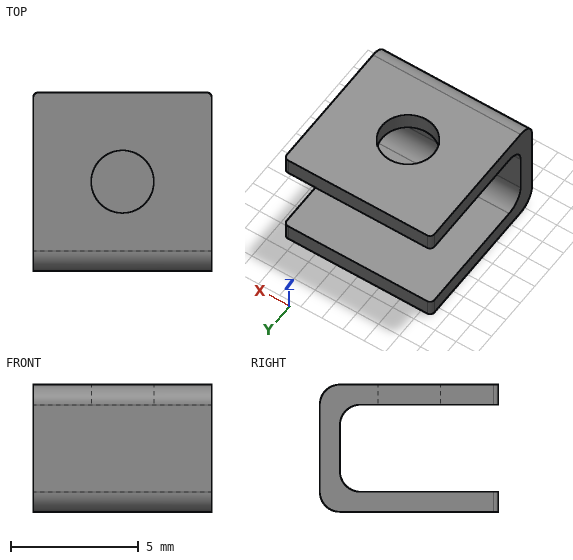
import cadquery as cq

width = 7.0
depth = 7.0
height = 5.0
thickness = 0.8
outer_bend_radius = 0.8
inner_bend_radius = 0.8
corner_radius = 0.2
hole_diameter = 2.46


def channel():
    """U-shaped channel with its web at -Y, open toward +Y."""
    body = cq.Workplane("XY").box(width, depth, height)
    body = body.edges("|X and <Y").fillet(outer_bend_radius)
    cavity = (
        cq.Workplane("XY")
        .box(width, depth - thickness, height - 2 * thickness)
        .translate((0, thickness / 2, 0))
        .edges("|X and <Y")
        .fillet(inner_bend_radius)
    )
    return body.cut(cavity)


def top_hole():
    """Cutter for the hole through the upper flange only."""
    return (
        cq.Workplane("XY")
        .workplane(offset=height / 2 - thickness)
        .circle(hole_diameter / 2)
        .extrude(thickness)
    )


rounded_channel = channel().edges("|Z and >Y").fillet(corner_radius)
result = rounded_channel.cut(top_hole())